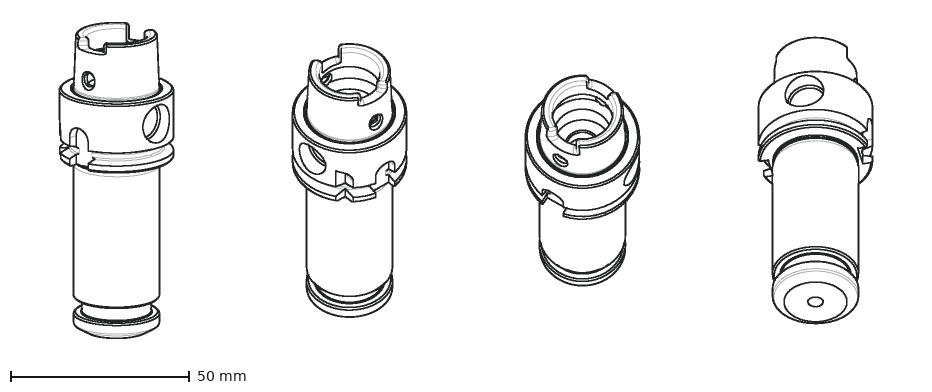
import cadquery as cq
import math

pick_margin = 0.1
overshoot = 0.9

total_height = 86.5
body_radius = 24.1 / 2
bore_radius = 4.2 / 2

bottom_face_radius = 17.65 / 2
rim_cone_top = 1.9
rim_edge_fillet = 0.7
rim_top = 5.3
rim_chamfer = 0.5
lower_neck_radius = 19.5 / 2
lower_neck_bevel = 0.3
body_bottom = 9.6
body_chamfer = 0.5

upper_neck_radius = 23.3 / 2
body_shoulder = 48.35
shoulder_cone_top = 49.5
shoulder_step = 0.2
neck_bevel = 0.35

flange_radius = 32.0 / 2
flange_bottom = 50.4
flange_top = 70.6
flange_bottom_chamfer = 0.5
flange_top_chamfer = 0.5
groove_radius = 26.1 / 2
groove_center = 54.5
groove_mouth_half = 3.8 / 2
groove_floor_half = 2.0 / 2
groove_fillet = 0.5

relief_radius = 25.8 / 2
relief_depth = 0.35
shank_foot_radius = body_radius
shank_foot_top = 70.9
shank_base_radius = 24.0 / 2
shank_base = 71.3
shank_top_radius = 22.8 / 2
shank_rim_chamfer = 0.5

cavity_radius = 17.0 / 2
cavity_mouth_radius = 19.0 / 2
undercut_radius = 20.5 / 2
undercut_lip = 79.9
undercut_cone_bottom = 78.9
undercut_bottom = 73.7
recess_radius = 16.3 / 2
recess_cone_bottom = 71.5
recess_floor = 64.9
counterbore_radius = 8.9 / 2
counterbore_chamfer = 0.4
counterbore_floor = 60.55

notch_width = 6.9
notch_floor_front = 83.6
notch_floor_back = 81.6
notch_mouth_radius = 1.8
notch_floor_fillet = 0.9
notch_top_fillet = 0.8
notch_side_margin = 1.7
notch_slab_thickness = 0.95

cross_hole_height = 75.4
cross_hole_radius = 4.0 / 2
cross_sink_bottom = 11.2

slot_radius = 7.0 / 2
slot_center_height = 58.9
slot_floor_distance = 25.7 / 2
corner_slot_inset = 9.4

pocket_radius = 10.0 / 2
opposite_pocket_radius = 11.0 / 2
pocket_height = 63.4
pocket_floor_distance = 11.0
pocket_floor_chamfer = 0.56
pocket_angle = 7.2


def make_body():
    """Revolve the outer outline of the holder."""
    outline = [
        (0, 0),
        (bottom_face_radius, 0),
        (body_radius, rim_cone_top),
        (body_radius, rim_top - rim_chamfer),
        (body_radius - rim_chamfer, rim_top),
        (lower_neck_radius + lower_neck_bevel, rim_top),
        (lower_neck_radius, rim_top + lower_neck_bevel),
        (lower_neck_radius, body_bottom - lower_neck_bevel),
        (lower_neck_radius + lower_neck_bevel, body_bottom),
        (body_radius - body_chamfer, body_bottom),
        (body_radius, body_bottom + body_chamfer),
        (body_radius, body_shoulder),
        (upper_neck_radius + shoulder_step, shoulder_cone_top),
        (upper_neck_radius, shoulder_cone_top + shoulder_step),
        (upper_neck_radius, flange_bottom - neck_bevel),
        (upper_neck_radius + neck_bevel, flange_bottom),
        (flange_radius - flange_bottom_chamfer, flange_bottom),
        (flange_radius, flange_bottom + flange_bottom_chamfer),
        (flange_radius, flange_top - flange_top_chamfer),
        (flange_radius - flange_top_chamfer, flange_top),
        (relief_radius, flange_top),
        (relief_radius - relief_depth, flange_top - relief_depth),
        (shank_foot_radius, flange_top - relief_depth),
        (shank_foot_radius, shank_foot_top),
        (shank_base_radius, shank_base),
        (shank_top_radius, total_height - shank_rim_chamfer),
        (shank_top_radius - shank_rim_chamfer, total_height),
        (0, total_height),
    ]
    body = cq.Workplane("XZ").polyline(outline).close().revolve(360, (0, 0), (0, 1))
    at_cone_top = cq.selectors.BoxSelector(
        (-body_radius, -body_radius, rim_cone_top - pick_margin),
        (body_radius, body_radius, rim_cone_top + pick_margin),
    )
    return body.edges(at_cone_top).fillet(rim_edge_fillet)


def make_gripper_groove():
    """Trapezoidal ring with rounded inner corners, cut around the flange."""
    section = [
        (groove_radius, groove_center - groove_floor_half),
        (flange_radius, groove_center - groove_mouth_half),
        (flange_radius + overshoot, groove_center - groove_mouth_half),
        (flange_radius + overshoot, groove_center + groove_mouth_half),
        (flange_radius, groove_center + groove_mouth_half),
        (groove_radius, groove_center + groove_floor_half),
    ]
    ring = cq.Workplane("XZ").polyline(section).close().revolve(360, (0, 0), (0, 1))
    return ring.edges(cq.selectors.RadiusNthSelector(0)).fillet(groove_fillet)


def make_cavity():
    """Stepped cavity and through bore with a rounded mouth."""
    mouth_round = cavity_mouth_radius - cavity_radius
    mouth_bend = mouth_round * (1 - math.sqrt(0.5))
    counterbore_top_radius = counterbore_radius + counterbore_chamfer
    return (
        cq.Workplane("XZ")
        .moveTo(0, 0)
        .lineTo(bore_radius, 0)
        .lineTo(bore_radius, counterbore_floor)
        .lineTo(counterbore_radius, counterbore_floor)
        .lineTo(counterbore_radius, recess_floor - counterbore_chamfer)
        .lineTo(counterbore_top_radius, recess_floor)
        .lineTo(recess_radius, recess_floor)
        .lineTo(recess_radius, recess_cone_bottom)
        .lineTo(undercut_radius, undercut_bottom)
        .lineTo(undercut_radius, undercut_cone_bottom)
        .lineTo(cavity_radius, undercut_lip)
        .lineTo(cavity_radius, total_height - mouth_round)
        .threePointArc(
            (cavity_radius + mouth_bend, total_height - mouth_bend),
            (cavity_mouth_radius, total_height),
        )
        .lineTo(0, total_height)
        .close()
        .revolve(360, (0, 0), (0, 1))
    )


def make_notch(floor_height):
    """Notch through the +Y shank wall, flaring outwards, with a rounded floor and rounded top edges."""
    half = notch_width / 2
    wide = half + notch_mouth_radius
    flare_end = math.sqrt(shank_top_radius**2 - wide**2)
    flare_start = flare_end - notch_mouth_radius
    bend = notch_mouth_radius * (1 - math.sqrt(0.5))
    rise = notch_mouth_radius * math.sqrt(0.5)
    end_x = wide + notch_side_margin
    end_y = shank_foot_radius + overshoot
    channel = (
        cq.Workplane("XY", origin=(0, 0, floor_height))
        .moveTo(-half, 0)
        .lineTo(-half, flare_start)
        .threePointArc((-half - bend, flare_start + rise), (-wide, flare_end))
        .lineTo(-end_x, flare_end)
        .lineTo(-end_x, end_y)
        .lineTo(end_x, end_y)
        .lineTo(end_x, flare_end)
        .lineTo(wide, flare_end)
        .threePointArc((half + bend, flare_start + rise), (half, flare_start))
        .lineTo(half, 0)
        .close()
        .extrude(total_height - floor_height)
        .faces("<Z")
        .edges()
        .fillet(notch_floor_fillet)
    )
    slab = (
        cq.Workplane("XY", origin=(0, end_y / 2, total_height - notch_slab_thickness))
        .rect(2 * end_x, end_y)
        .extrude(notch_slab_thickness)
    )
    inside_slab = cq.selectors.BoxSelector(
        (-wide - notch_side_margin / 2 - pick_margin, pick_margin, total_height - pick_margin),
        (wide + notch_side_margin / 2 + pick_margin, end_y, total_height + pick_margin),
    )
    jaws = slab.cut(channel).faces(">Z").edges(inside_slab).fillet(notch_top_fillet)
    return channel.union(slab.cut(jaws))


def make_cross_hole(side):
    """Hole along Y through one shank wall (side is +1 for +Y), countersunk outside."""
    sink_radius = cross_hole_radius + shank_foot_radius - cross_sink_bottom
    profile = [
        (0, 0),
        (cross_hole_radius, 0),
        (cross_hole_radius, cross_sink_bottom),
        (sink_radius, shank_foot_radius),
        (0, shank_foot_radius),
    ]
    return (
        cq.Workplane("XY")
        .polyline(profile)
        .close()
        .revolve(360, (0, 0), (0, 1))
        .rotate((0, 0, 0), (0, 0, 1), 90 - side * 90)
        .translate((0, 0, cross_hole_height))
    )


def make_slot(center_x, floor_y, side):
    """Round-topped slot open downwards, cut from the floor outwards along Y."""
    return (
        cq.Workplane("XZ", origin=(center_x, floor_y, 0))
        .moveTo(-slot_radius, flange_bottom)
        .lineTo(-slot_radius, slot_center_height)
        .threePointArc((0, slot_center_height + slot_radius), (slot_radius, slot_center_height))
        .lineTo(slot_radius, flange_bottom)
        .close()
        .extrude(-side * flange_radius)
    )


def make_pocket(radius, angle):
    """Flat-floored round pocket whose axis points outwards at an angle from +X."""
    return (
        cq.Workplane("YZ", origin=(pocket_floor_distance, 0, pocket_height))
        .circle(radius)
        .extrude(flange_radius)
        .faces("<X")
        .chamfer(pocket_floor_chamfer)
        .rotate((0, 0, 0), (0, 0, 1), angle)
    )


result = make_body().cut(make_gripper_groove()).cut(make_cavity())

result = result.cut(make_notch(notch_floor_back))
result = result.cut(make_notch(notch_floor_front).rotate((0, 0, 0), (0, 0, 1), 180))

for side in (-1, 1):
    result = result.cut(make_cross_hole(side))
    result = result.cut(make_slot(0, side * slot_floor_distance, side))

result = result.cut(make_slot(-corner_slot_inset - slot_radius, -corner_slot_inset, -1))

result = result.cut(make_pocket(pocket_radius, 180 + pocket_angle))
result = result.cut(make_pocket(opposite_pocket_radius, 0))